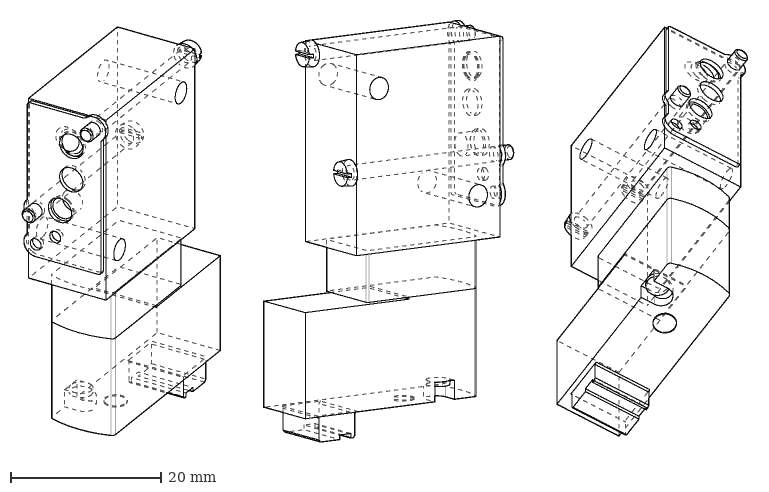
import cadquery as cq
import math


block_width = 12.0
block_depth = 23.15
block_height = 27.25
side_hole_diameter = 3.0
side_holes_yz = [(19.5, 22.25), (3.55, 6.0)]

screw_spacing_x = 9.0
screw_left_x = -screw_spacing_x / 2
screw_right_x = screw_spacing_x / 2
upper_screw_z = 25.75
lower_screw_z = 11.0
shank_diameter = 2.0
shank_overhang = 2.05
tip_chamfer = 0.2
head_base_diameter = 3.6
head_top_diameter = 3.3
head_length = 1.55
slot_width = 0.5
slot_depth = 0.65

plate_thickness = 0.65
plate_left_x = -5.8
plate_right_x = 5.6
plate_bottom_z = 3.95
plate_top_z = 27.05
plate_corner_radius = 0.4
ear_radius = 1.85
ear_root_radius = 0.4
corner_ear_z = plate_bottom_z + ear_radius
small_hole_diameter = 1.7
small_holes_xz = [(-1.5, 7.8), (screw_left_x, corner_ear_z)]

port_diameter = 3.6
port_x = 1.0
oblique_port_z = 22.2
blind_port_z = 17.15
oblique_port_depths = [0, 0.55, 0.85]
oblique_port_shifts = [-0.25, -0.7, -1.5]
drilled_port_x = -0.75
drilled_port_z = 12.0
drill_diameter = 3.1
drill_depth = 2.65
drill_point_angle = 118
countersink_angle = 125

body_left_x = -3.9
body_width = 9.8
body_x = body_left_x + body_width / 2
body_front_y = 1.5
front_arc_radius = 14.7
front_corner_radius = 0.55

neck_height = 7.05
neck_back_y = 20.0
neck_back_radius = 0.3

solenoid_back_y = 30.0
solenoid_bottom_z = -21.7
ledge_y = 13.2
ledge_drop = 0.25
button_diameter = 3.1
button_y = 10.95
button_height = 0.15

pin_diameter = 3.2
pin_y = 7.5
recess_height = 2.6
pin_length = 0.65
recess_end_offset = 0.55

connector_width = 8.45
connector_front_y = 21.55
connector_back_y = 27.35
connector_bottom_z = -25.3
connector_chamfer = 0.3
collar_flare = 0.2
collar_height = 0.3
notch_front_y = 22.15
notch_back_y = 23.95
notch_depth = 0.65

screw_positions_xz = [(screw_right_x, upper_screw_z), (screw_left_x, lower_screw_z)]
pin_x = body_left_x + pin_diameter / 2
recess_top_z = solenoid_bottom_z + recess_height
pin_bottom_z = recess_top_z - pin_length


def rod_y(x, z, diameter, start_y, end_y):
    """Cylinder along +Y from start_y to end_y."""
    return cq.Workplane(
        cq.Solid.makeCylinder(diameter / 2, end_y - start_y, cq.Vector(x, start_y, z), cq.Vector(0, 1, 0))
    )


def cone_y(x, z, start_diameter, end_diameter, start_y, length):
    """Cone along +Y from start_diameter to end_diameter."""
    return cq.Workplane(
        cq.Solid.makeCone(
            start_diameter / 2, end_diameter / 2, length, cq.Vector(x, start_y, z), cq.Vector(0, 1, 0)
        )
    )


def rod_z(x, y, diameter, start_z, end_z):
    """Cylinder along +Z from start_z to end_z."""
    return cq.Workplane("XY", origin=(x, y, start_z)).circle(diameter / 2).extrude(end_z - start_z)


def box_between(low, high):
    """Box between two opposite corners."""
    size = [end - start for start, end in zip(low, high)]
    return cq.Workplane("XY").box(*size, centered=False).translate(low)


def make_oblique_port():
    """Shallow round recess that leans to the left as it gets deeper."""
    port = cq.Workplane("XY")
    for step in range(len(oblique_port_depths) - 1):
        rims = [
            cq.Wire.makeCircle(
                port_diameter / 2,
                cq.Vector(port_x + oblique_port_shifts[i], oblique_port_depths[i], oblique_port_z),
                cq.Vector(0, 1, 0),
            )
            for i in (step, step + 1)
        ]
        port = port.add(cq.Solid.makeLoft(rims, True))
    return port.combine()


def make_drilled_port():
    """Countersunk blind hole with a drill point."""
    countersink_depth = (port_diameter - drill_diameter) / 2 / math.tan(math.radians(countersink_angle / 2))
    point_length = drill_diameter / 2 / math.tan(math.radians(drill_point_angle / 2))
    place = (drilled_port_x, drilled_port_z)
    hole = rod_y(*place, drill_diameter, 0, drill_depth)
    hole = hole.union(cone_y(*place, port_diameter, drill_diameter, 0, countersink_depth))
    return hole.union(cone_y(*place, drill_diameter, 0, drill_depth, point_length))


def make_block():
    block = box_between((-block_width / 2, 0, 0), (block_width / 2, block_depth, block_height))
    side_holes = (
        cq.Workplane("YZ", origin=(-block_width / 2, 0, 0))
        .pushPoints(side_holes_yz)
        .circle(side_hole_diameter / 2)
        .extrude(block_width)
    )
    block = block.cut(side_holes).cut(make_oblique_port()).cut(make_drilled_port())
    for x, z in screw_positions_xz:
        block = block.cut(rod_y(x, z, shank_diameter, 0, block_depth))
    return block


def make_plate():
    outline = [
        (plate_left_x, plate_top_z),
        (plate_right_x, plate_top_z),
        (plate_right_x, plate_bottom_z),
        (screw_left_x, plate_bottom_z),
        (screw_left_x, corner_ear_z),
        (plate_left_x, corner_ear_z),
    ]
    plate = cq.Workplane("XZ").polyline(outline).close().extrude(plate_thickness)
    for x, z in [(plate_left_x, plate_top_z), (plate_right_x, plate_bottom_z)]:
        plate = plate.edges(edge_near(x, z)).fillet(plate_corner_radius)
    for x, z in screw_positions_xz + [(screw_left_x, corner_ear_z)]:
        plate = plate.union(rod_y(x, z, 2 * ear_radius, -plate_thickness, 0))

    for x, z in ear_roots():
        plate = plate.edges(edge_near(x, z)).fillet(ear_root_radius)

    openings = [(x, z, shank_diameter) for x, z in screw_positions_xz]
    openings += [(x, z, small_hole_diameter) for x, z in small_holes_xz]
    openings += [(port_x, z, port_diameter) for z in (oblique_port_z, blind_port_z)]
    openings.append((drilled_port_x, drilled_port_z, port_diameter))
    for x, z, diameter in openings:
        plate = plate.cut(rod_y(x, z, diameter, -plate_thickness, 0))
    return plate


def edge_near(x, z):
    """Selector for the plate edge along Y at a given place."""
    reach = 0.05
    return cq.selectors.BoxSelector((x - reach, -plate_thickness, z - reach), (x + reach, 0, z + reach))


def ear_roots():
    """Places where the round ears meet the straight sides of the plate."""
    left_rise = math.sqrt(ear_radius**2 - (screw_left_x - plate_left_x) ** 2)
    right_drop = math.sqrt(ear_radius**2 - (plate_right_x - screw_right_x) ** 2)
    top_reach = math.sqrt(ear_radius**2 - (plate_top_z - upper_screw_z) ** 2)
    return [
        (plate_left_x, corner_ear_z + left_rise),
        (plate_left_x, lower_screw_z - left_rise),
        (plate_left_x, lower_screw_z + left_rise),
        (plate_right_x, upper_screw_z - right_drop),
        (screw_right_x - top_reach, plate_top_z),
    ]


def make_screw(x, z):
    """Cheese head screw with a chamfered tip and a slot along X."""
    head_end_y = block_depth + head_length
    shank = rod_y(x, z, shank_diameter, -plate_thickness - shank_overhang, block_depth)
    shank = shank.faces("<Y").chamfer(tip_chamfer)
    head = cone_y(x, z, head_base_diameter, head_top_diameter, block_depth, head_length)
    slot = box_between(
        (x - head_base_diameter, head_end_y - slot_depth, z - slot_width / 2),
        (x + head_base_diameter, head_end_y, z + slot_width / 2),
    )
    return shank.union(head).cut(slot)


def make_body_prism(back_y, bottom_z, top_z):
    """Upright prism with a bowed front face and rounded front corners."""
    half_width = body_width / 2
    side_front_y = body_front_y + front_arc_radius - math.sqrt(front_arc_radius**2 - half_width**2)
    return (
        cq.Workplane("XY", origin=(body_x, 0, bottom_z))
        .moveTo(-half_width, back_y)
        .lineTo(-half_width, side_front_y)
        .threePointArc((0, body_front_y), (half_width, side_front_y))
        .lineTo(half_width, back_y)
        .close()
        .extrude(top_z - bottom_z)
        .edges("|Z and (not >Y)")
        .fillet(front_corner_radius)
    )


def make_neck():
    neck = make_body_prism(neck_back_y, -neck_height, 0)
    return neck.edges("|Z and >Y").fillet(neck_back_radius)


def make_pin_recess():
    """Recess around the pin, with a round end behind the pin under a 45 degree conical roof."""
    pin_radius = pin_diameter / 2
    end_x = pin_x + recess_end_offset
    mouth = box_between(
        (body_left_x, pin_y - pin_radius, solenoid_bottom_z), (pin_x, pin_y + pin_radius, recess_top_z)
    )
    bore = rod_z(pin_x, pin_y, pin_diameter, solenoid_bottom_z, recess_top_z)
    passage = box_between(
        (pin_x, pin_y - pin_radius, solenoid_bottom_z), (end_x, pin_y + pin_radius, pin_bottom_z)
    )
    end = rod_z(end_x, pin_y, pin_diameter, solenoid_bottom_z, pin_bottom_z)
    roof_height = pin_bottom_z - solenoid_bottom_z
    roof = cq.Workplane(
        cq.Solid.makeCone(
            pin_radius + roof_height, pin_radius, roof_height, cq.Vector(pin_x, pin_y, solenoid_bottom_z)
        )
    )
    return mouth.union(bore).union(passage.union(end).intersect(roof))


def make_solenoid():
    solenoid = make_body_prism(solenoid_back_y, solenoid_bottom_z, -neck_height)
    ledge = box_between(
        (body_left_x, ledge_y, -neck_height - ledge_drop),
        (body_left_x + body_width, solenoid_back_y, -neck_height),
    )
    button = rod_z(body_x, button_y, button_diameter, solenoid_bottom_z - button_height, solenoid_bottom_z)
    return solenoid.cut(ledge).cut(make_pin_recess()).union(button)


def make_pin():
    return rod_z(pin_x, pin_y, pin_diameter, pin_bottom_z, recess_top_z)


def make_connector():
    collar_bottom_z = solenoid_bottom_z - collar_height
    chamfer_top_z = connector_bottom_z + connector_chamfer
    notch_top_z = connector_bottom_z + notch_depth
    profile = [
        (connector_front_y - collar_flare, solenoid_bottom_z),
        (connector_front_y, collar_bottom_z),
        (connector_front_y, chamfer_top_z),
        (connector_front_y + connector_chamfer, connector_bottom_z),
        (notch_front_y, connector_bottom_z),
        (notch_front_y, notch_top_z),
        (notch_back_y, notch_top_z),
        (notch_back_y, connector_bottom_z),
        (connector_back_y - connector_chamfer, connector_bottom_z),
        (connector_back_y, chamfer_top_z),
        (connector_back_y, collar_bottom_z),
        (connector_back_y + collar_flare, solenoid_bottom_z),
    ]
    return (
        cq.Workplane("YZ", origin=(body_x - connector_width / 2, 0, 0))
        .polyline(profile)
        .close()
        .extrude(connector_width)
    )


block = make_block()
plate = make_plate()
screws = [make_screw(x, z) for x, z in screw_positions_xz]
neck = make_neck()
solenoid = make_solenoid()
pin = make_pin()
connector = make_connector()

result = cq.Compound.makeCompound(
    [
        block.val(),
        plate.val(),
        *[screw.val() for screw in screws],
        neck.val(),
        solenoid.val(),
        pin.val(),
        connector.val(),
    ]
)